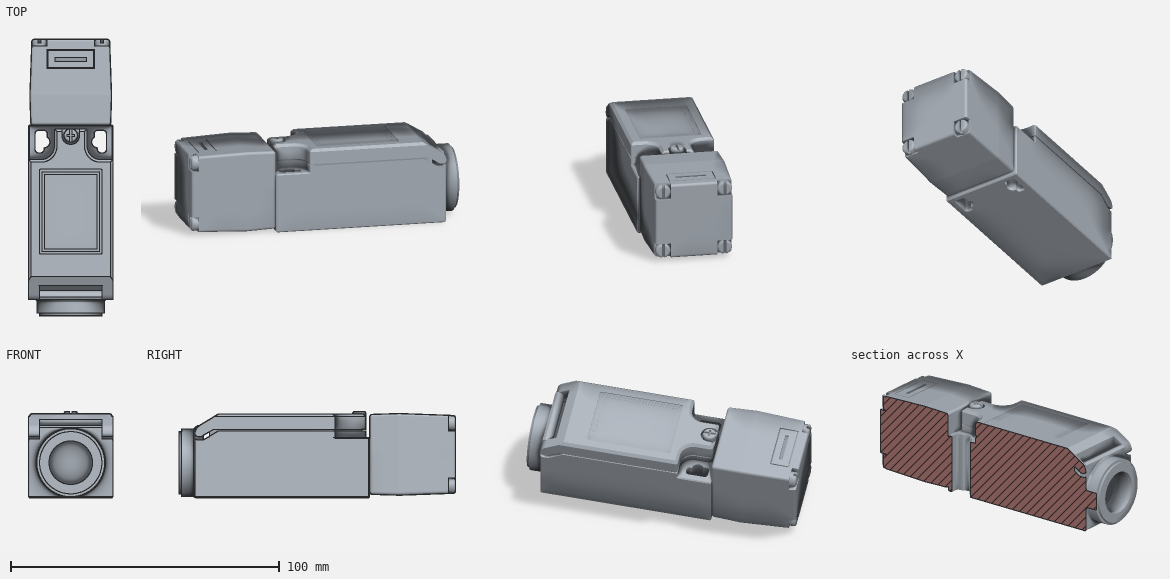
import cadquery as cq
import math


body_width = 31.5
body_length = 65.0
body_height = 31.2
half_width = body_width / 2
base_edge = 0.4
base_front_edge = 0.7
seam_bottom = 24.9
seam_gap = 0.6
cover_bottom = seam_bottom + seam_gap
gasket_inset = 0.4
gasket_rear_inset = 1.5
gasket_lap = 0.5

margin = 1.0
pick = 0.1

slope_angle = math.radians(31)
slope = math.tan(slope_angle)
slope_start = 8.7
nose_top_y = 1.8
nose_bottom_z = 22.8
nose_bottom_y = 2.4
seat_bottom_z = 21.5
seat_front_y = 0.8
seat_radius = 3.0
seat_lip_rise = 0.9

window_step = 0.1
window_floor = seat_bottom_z - window_step
window_half = 11.65
window_back = 5.35
ridge_top = 26.85
ridge_bevel = 0.65
ridge_crest = 1.0
barrel_radius = 2.4
barrel_undercut = math.radians(30)

shelf_z = 22.4
shelf_front = 52.2
neck_half = 6.1
neck_rear = 63.6
neck_corner = 0.9
shoulder_corner = 0.6
neck_root_radius = 5.0
cover_chamfer = 1.0
slot_outer_x = 13.25
slot_wide_x = 8.75
slot_narrow_x = 9.95
slot_rear = 63.05
slot_front = 54.7
slot_corner = 1.2
keyhole_x = 10.0
keyhole_y = 58.75
keyhole_radius = 2.2

screw_y = 61.15
screw_radius = 2.5
screw_top = 32.2
screw_round = 0.9
screw_slot_width = 0.9
screw_slot_depth = 1.0
screw_cross_reach = 1.4
well_radius = 3.3
well_depth = 2.0

label_half_width = 11.7
label_front = 17.05
label_rear = 48.6
label_step = 0.95
label_steps = 3
label_depth = 0.25
label_drop = 0.05
label_corner = 0.5

head_rear = 97.0
head_front = body_length
head_mid = 76.1
head_z = 16.15
head_half_front = 14.9
head_half_mid = 15.25
head_half_rear = 14.5
head_round = 1.0
head_screw_offset = 11.65
head_screw_radius = 2.8
head_notch_start = 8.75
head_notch_depth = 2.6
head_notch_size = 10.0
head_slot_width = 1.1
head_slot_depth = 1.4

frame_half_width = 8.9
frame_front = 86.05
frame_rear = 93.25
frame_groove = 0.45
frame_depth = 0.35
key_half_width = 5.85
key_front = 88.75
key_rear = 90.15
key_depth = 0.4

gland_z = 13.05
gland_length = 6.0
collar_end = 5.0
collar_radius = 12.65
lip_radius = 11.6
root_length = 0.5
root_radius = 12.95
bore_radius = 8.1
bore_depth = 8.0


def block(x0, x1, y0, y1, z0, z1):
    """Box between two opposite corners."""
    return cq.Workplane("XY").box(x1 - x0, y1 - y0, z1 - z0, centered=False).translate((x0, y0, z0))


def across(profile, half):
    """Extrude a closed YZ profile symmetrically about X = 0."""
    return profile.close().extrude(half, both=True)


def neck_plan(front, rear, z0, z1):
    """Full-width plan that narrows to a neck between the two rear shelves."""
    arc_mid = neck_root_radius * (1 - math.sqrt(0.5))
    root_y = shelf_front + neck_root_radius
    root_x = neck_half + neck_root_radius
    return (
        cq.Workplane("XY", origin=(0, 0, z0))
        .moveTo(-half_width, front)
        .lineTo(half_width, front)
        .lineTo(half_width, shelf_front)
        .lineTo(root_x, shelf_front)
        .threePointArc((neck_half + arc_mid, shelf_front + arc_mid), (neck_half, root_y))
        .lineTo(neck_half, rear)
        .lineTo(-neck_half, rear)
        .lineTo(-neck_half, root_y)
        .threePointArc((-neck_half - arc_mid, shelf_front + arc_mid), (-root_x, shelf_front))
        .lineTo(-half_width, shelf_front)
        .close()
        .extrude(z1 - z0)
    )


def round_plan_corners(plan):
    """Round the vertical corners of the neck and of the shoulders beside it."""
    plan = plan.edges("|Z and >Y").fillet(neck_corner)
    for x in (-half_width, half_width):
        shoulder = cq.selectors.BoxSelector(
            (x - pick, shelf_front - pick, 0), (x + pick, shelf_front + pick, body_height)
        )
        plan = plan.edges(shoulder).fillet(shoulder_corner)
    return plan


def make_base():
    """Lower housing with rear shelves and a sloped seat for the nose of the cover."""
    lower = block(-half_width, half_width, 0, body_length, 0, shelf_z)
    lower = lower.edges("|Z and <Y").fillet(base_front_edge)
    lower = lower.faces("<Z or >Y").edges().chamfer(base_edge)
    upper = round_plan_corners(neck_plan(0, neck_rear, shelf_z, seam_bottom))
    lower = lower.faces(">Z").edges("|Y").chamfer(base_edge)
    filler = block(-half_width, half_width, base_front_edge, shelf_front, shelf_z - base_edge, shelf_z)
    base = lower.union(filler).union(upper)

    seat_arc_y = slope_start - (seam_bottom - seat_bottom_z) / slope
    seat = across(
        cq.Workplane("YZ")
        .moveTo(slope_start, seam_bottom)
        .lineTo(seat_arc_y, seat_bottom_z)
        .lineTo(seat_front_y, seat_bottom_z)
        .lineTo(-seat_front_y, seat_bottom_z + seat_lip_rise)
        .lineTo(-seat_front_y, seam_bottom + margin)
        .lineTo(slope_start, seam_bottom + margin),
        body_width,
    )
    seat_corner = cq.selectors.BoxSelector(
        (-body_width - margin, seat_arc_y - pick, seat_bottom_z - pick),
        (body_width + margin, seat_arc_y + pick, seat_bottom_z + pick),
    )
    seat = seat.edges(seat_corner).fillet(seat_radius)
    return base.cut(seat)


def make_cover():
    """Cover with bevelled rim, sloped front and rounded hinge nose."""
    nose_top_z = body_height - (slope_start - nose_top_y) * slope
    nose_radius = nose_top_y / (1 - math.sin(slope_angle))
    nose_front_z = nose_top_z - nose_radius * math.cos(slope_angle)
    underside_slope_y = nose_bottom_y + (cover_bottom - nose_bottom_z) / slope
    lower_radius = nose_front_z - nose_bottom_z
    side = across(
        cq.Workplane("YZ")
        .moveTo(neck_rear + margin, cover_bottom)
        .lineTo(underside_slope_y, cover_bottom)
        .lineTo(nose_bottom_y, nose_bottom_z)
        .lineTo(lower_radius, nose_bottom_z)
        .radiusArc((0, nose_front_z), lower_radius)
        .radiusArc((nose_top_y, nose_top_z), nose_radius)
        .lineTo(slope_start, body_height)
        .lineTo(neck_rear + margin, body_height),
        body_width,
    )
    plan = neck_plan(-2 * cover_chamfer, neck_rear, nose_bottom_z - margin, body_height)
    bevelled = plan.faces(">Z").chamfer(cover_chamfer)
    return bevelled.intersect(round_plan_corners(plan)).intersect(side)


def make_gasket():
    """Recessed strip that joins the cover to the base along the seam."""
    half = half_width - gasket_inset
    wide = across(
        cq.Workplane("YZ")
        .moveTo(shelf_front - gasket_inset, seam_bottom - gasket_lap)
        .lineTo(shelf_front - gasket_inset, cover_bottom + gasket_lap)
        .lineTo(window_back, cover_bottom + gasket_lap)
        .lineTo(window_back, seam_bottom - gasket_lap - (slope_start - window_back) * slope)
        .lineTo(slope_start, seam_bottom - gasket_lap),
        half,
    )
    neck_inner = neck_half - gasket_inset
    neck = block(
        -neck_inner, neck_inner, shelf_front - margin, neck_rear - gasket_rear_inset,
        seam_bottom - gasket_lap, cover_bottom + gasket_lap,
    )
    return wide.union(neck)


def add_hinge_window(housing):
    """Open the front of the cover and fit the barrel-backed hinge ridge in it."""
    window = block(-window_half, window_half, -margin, window_back, window_floor, body_height)
    barrel_z = ridge_top - barrel_radius
    barrel_end_y = ridge_crest + barrel_radius * math.cos(barrel_undercut)
    ridge = across(
        cq.Workplane("YZ")
        .moveTo(0, window_floor - margin)
        .lineTo(0, ridge_top - ridge_bevel)
        .lineTo(ridge_crest, ridge_top)
        .threePointArc(
            (ridge_crest + barrel_radius, barrel_z),
            (barrel_end_y, barrel_z - barrel_radius * math.sin(barrel_undercut)),
        )
        .lineTo(barrel_end_y, window_floor - margin),
        window_half,
    )
    return housing.cut(window).union(ridge)


def cut_keyholes(housing):
    """Mounting slots through both rear shelves, each with a round bulge inward."""
    wide = block(slot_wide_x, slot_outer_x, keyhole_y - margin, slot_rear, -margin, body_height)
    narrow = block(slot_narrow_x, slot_outer_x, slot_front, keyhole_y + margin, -margin, body_height)
    wide = wide.edges("|Z and >Y").fillet(slot_corner)
    narrow = narrow.edges("|Z and <Y").fillet(slot_corner)
    circle = (
        cq.Workplane("XY", origin=(keyhole_x, keyhole_y, -margin))
        .circle(keyhole_radius)
        .extrude(body_height)
    )
    keyhole = wide.union(narrow).union(circle)
    return housing.cut(keyhole).cut(keyhole.mirror("YZ"))


def add_cover_screw(housing):
    """Cross-slotted screw in a well that is open to the rear."""
    well_floor = body_height - well_depth
    well = (
        cq.Workplane("XY", origin=(0, screw_y, well_floor))
        .circle(well_radius)
        .extrude(well_depth + margin)
        .union(block(-well_radius, well_radius, screw_y, body_length, well_floor, body_height + margin))
    )
    screw = (
        cq.Workplane("XY", origin=(0, screw_y, well_floor - margin))
        .circle(screw_radius)
        .extrude(screw_top - well_floor + margin)
        .faces(">Z").edges().fillet(screw_round)
    )
    half_slot = screw_slot_width / 2
    slot_z = screw_top - screw_slot_depth
    reach = screw_radius + margin
    slot = block(-half_slot, half_slot, screw_y - reach, screw_y + reach, slot_z, screw_top + margin)
    cross = block(
        -screw_cross_reach, screw_cross_reach, screw_y - half_slot, screw_y + half_slot,
        slot_z, screw_top + margin,
    )
    return housing.cut(well).union(screw.cut(slot).cut(cross))


def cut_label_frame(housing):
    """Shallow label recess that deepens slightly in nested steps."""
    for step in range(label_steps):
        inset = step * label_step
        panel = block(
            inset - label_half_width,
            label_half_width - inset,
            label_front + inset,
            label_rear - inset,
            body_height - label_depth - step * label_drop,
            body_height + margin,
        )
        if step == 0:
            panel = panel.edges("|Z").fillet(label_corner)
        housing = housing.cut(panel)
    return housing


def make_head():
    """Square head that is widest part way along, with rounded edges."""
    def section(y, half):
        return cq.Workplane("XZ", origin=(0, y, head_z)).rect(2 * half, 2 * half)

    def tapered(y0, half0, y1, half1):
        return section(y0, half0).workplane(offset=y0 - y1).rect(2 * half1, 2 * half1).loft(ruled=True)

    front_part = tapered(head_front, head_half_front, head_mid, head_half_mid)
    rear_part = tapered(head_mid, head_half_mid, head_rear, head_half_rear)
    head = front_part.union(rear_part)
    return head.edges("(not(|X or |Z)) or <Y or >Y").fillet(head_round)


def add_head_screws(head):
    """Notch the four rear corners of the head and set a slotted screw in each."""
    size = head_notch_size
    offset = head_notch_start + size / 2
    notch = cq.Workplane("XY").box(size, 2 * head_notch_depth, size)
    slot = cq.Workplane("XY").box(head_slot_width, 2 * head_slot_depth, size)
    screw = (
        cq.Workplane("XZ")
        .circle(head_screw_radius)
        .extrude(head_notch_depth + margin)
        .faces(">Y").edges().fillet(head_round)
        .cut(slot)
    )
    for sx in (-1, 1):
        for sz in (-1, 1):
            head = head.cut(notch.translate((sx * offset, head_rear, head_z + sz * offset)))
            centre = (sx * head_screw_offset, head_rear, head_z + sz * head_screw_offset)
            head = head.union(screw.translate(centre))
    return head


def cut_actuator_opening(head):
    """Frame groove with a shallow key opening inside it."""
    top = head_z + head_half_mid + margin
    taper = (head_half_mid - head_half_rear) / (head_rear - head_mid)
    frame_top = head_z + head_half_mid - taper * (frame_rear - head_mid)
    frame_floor = frame_top - frame_depth
    outer = block(-frame_half_width, frame_half_width, frame_front, frame_rear, frame_floor, top)
    inner_half = frame_half_width - frame_groove
    inner = block(
        -inner_half, inner_half, frame_front + frame_groove, frame_rear - frame_groove, frame_floor, top
    )
    key = block(-key_half_width, key_half_width, key_front, key_rear, frame_top - key_depth, top)
    return head.cut(outer.cut(inner)).cut(key)


def make_gland():
    """Cable gland turned about a Y axis, flared at its root."""
    return (
        cq.Workplane("XY")
        .moveTo(0, margin)
        .lineTo(root_radius, margin)
        .lineTo(root_radius, 0)
        .lineTo(collar_radius, -root_length)
        .lineTo(collar_radius, -collar_end)
        .lineTo(lip_radius, -collar_end)
        .lineTo(lip_radius, -gland_length)
        .lineTo(0, -gland_length)
        .close()
        .revolve(360, (0, 0, 0), (0, 1, 0))
        .translate((0, 0, gland_z))
    )


def cut_gland_bore(part):
    """Blind cable bore."""
    bore = (
        cq.Workplane("XZ", origin=(0, -gland_length, gland_z))
        .circle(bore_radius)
        .extrude(-bore_depth)
    )
    return part.cut(bore)


housing = make_base().union(make_cover()).union(make_gasket())
housing = add_hinge_window(housing)
housing = cut_keyholes(housing)
housing = add_cover_screw(housing)
housing = cut_label_frame(housing)

head = cut_actuator_opening(add_head_screws(make_head()))

result = cut_gland_bore(housing.union(make_gland())).union(head)